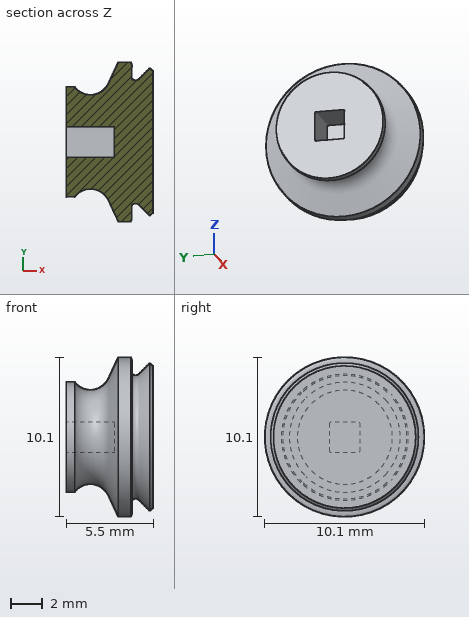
import cadquery as cq
import math

length = 5.5
hub_width = 0.53
wide_groove_x = 1.53
flange_land_end = 4.1
flange_back = 4.17
narrow_groove_x = 4.4
end_bevel = 0.18

hub_radius = 3.5
wide_groove_root = 3.0
flange_radius = 5.06
flange_round_start = 4.78
narrow_groove_root = 3.92
lip_radius = 4.69

wide_groove_arc = 1.26
flank_angle = math.radians(65)
narrow_groove_arc = 0.31
lip_angle = math.radians(45)

socket_side = 1.92
socket_depth = 3.04
socket_corner_radius = 0.09


def arc_point(center_x, root, arc_radius, angle):
    """Point on a groove arc at a signed angle from its lowest point."""
    x = center_x + arc_radius * math.sin(angle)
    radius = root + arc_radius * (1 - math.cos(angle))
    return x, radius


def make_body():
    flank_start = arc_point(wide_groove_x, wide_groove_root, wide_groove_arc, flank_angle)
    flank_run = (flange_radius - flank_start[1]) / math.tan(flank_angle)
    flange_front = flank_start[0] + flank_run

    wall_angle = math.asin((flange_back - narrow_groove_x) / narrow_groove_arc)
    wall_foot = arc_point(narrow_groove_x, narrow_groove_root, narrow_groove_arc, wall_angle)
    lip_start = arc_point(narrow_groove_x, narrow_groove_root, narrow_groove_arc, lip_angle)
    lip_x = lip_start[0] + (lip_radius - lip_start[1]) / math.tan(lip_angle)

    round_depth = flange_back - flange_land_end
    round_height = flange_radius - flange_round_start
    round_arc = (round_depth**2 + round_height**2) / (2 * round_depth)
    half_sweep = math.asin(round_height / round_arc) / 2
    round_middle = (
        flange_back - round_arc * (1 - math.cos(half_sweep)),
        flange_round_start + round_arc * math.sin(half_sweep),
    )

    profile = (
        cq.Workplane("XY")
        .moveTo(0, 0)
        .lineTo(0, hub_radius)
        .lineTo(hub_width, hub_radius)
        .threePointArc((wide_groove_x, wide_groove_root), flank_start)
        .lineTo(flange_front, flange_radius)
        .lineTo(flange_land_end, flange_radius)
        .threePointArc(round_middle, (flange_back, flange_round_start))
        .lineTo(*wall_foot)
        .threePointArc((narrow_groove_x, narrow_groove_root), lip_start)
        .lineTo(lip_x, lip_radius)
        .lineTo(length, lip_radius - end_bevel)
        .lineTo(length, 0)
        .close()
    )
    return profile.revolve(360, (0, 0, 0), (1, 0, 0))


def make_socket():
    return (
        cq.Workplane("YZ")
        .rect(socket_side, socket_side)
        .extrude(socket_depth)
        .edges("|X")
        .fillet(socket_corner_radius)
    )


result = make_body().cut(make_socket())